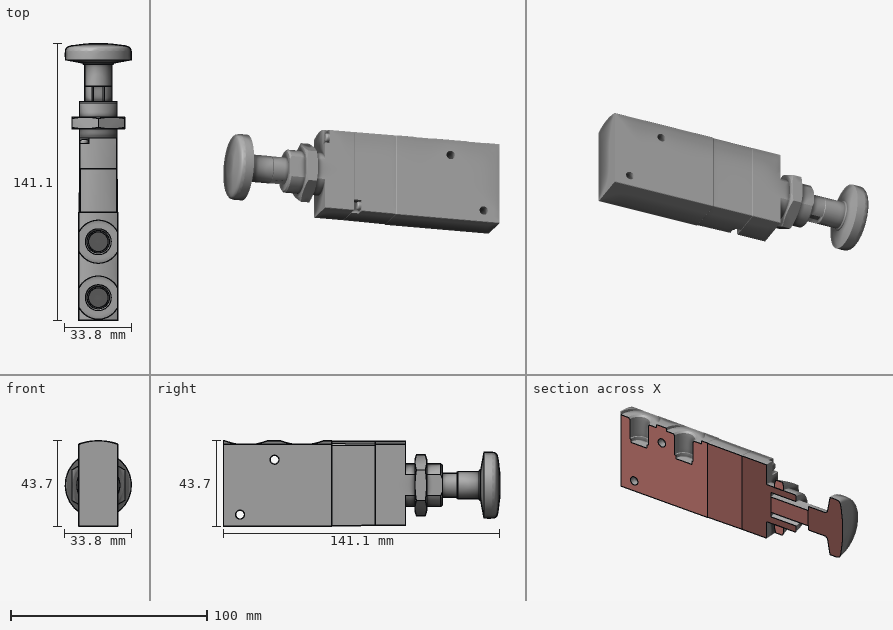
import cadquery as cq
import math


BODY_END = 55.3
MID_END = 77.3
HEAD_END = 92.9
BUSH_END = 111.6
STEM_END = 119.2
KNOB_END = 141.09

CUT_OVERRUN = 1.0

EDGE_BREAK = 0.25

BODY_WIDTH = 20.0
BODY_HEIGHT = 43.72
CROWN_RADIUS = 30.0
PORT_STATIONS = (11.6, 40.1)
PORT_FACE_DIA = 22.0
PORT_FACE_DEPTH = 1.8
PORT_MOUTH_DIA = 13.2
PORT_DIA = 11.45
PORT_DEPTH = 12.0
PORT_SEAT_DIA = 10.0
PORT_SEAT_DEPTH = 2.0
CROSS_HOLE_DIA = 4.4
CROSS_HOLES = ((8.5, 6.0), (26.1, 34.0))

HEAD_WIDTH = 19.2
HEAD_BOTTOM = 0.4
HEAD_TOP = 43.5
MID_WIDE_END = 19.63
MID_WIDE_END_BOTTOM = 0.2
MID_WIDE_END_TOP = 43.6
MID_BEVEL_WIDTH = 0.45
MID_BEVEL_HEIGHT = 0.8

AXIS_Z = 21.0
BUSH_DIA = 22.0
BUSH_CHAMFER = 0.8

NUT_FLATS = 27.0
NUT_START = 97.6
NUT_THICKNESS = 6.1
NUT_FACE_DIA = 26.0
NUT_CORNER_DROP = 0.8

STEM_DIA = 14.0
STEM_INSERTION = 16.0
SLOT_MOUTH_WIDTH = 6.4
SLOT_FLOOR_WIDTH = 4.7
SLOT_FLOOR_HEIGHT = 4.6

KNOB_DIA = 33.84
KNOB_RIM_BULGE = 0.1
KNOB_RIM_START = 132.85
KNOB_RIM_END = 137.1
KNOB_CONE_END = 131.15
KNOB_NECK_FILLET = 0.8
KNOB_DOME_RADIUS = 86.5
KNOB_DOME_HALF_WIDTHS = (14.0, 8.0)
KNOB_END_CHAMFER = 0.3

SCREW_HEAD_DIA = 4.4
SCREW_HEAD_HEIGHT = 1.9
SCREW_HEAD_ROUND = 0.9
SCREW_SHANK_DIA = 3.0
SCREW_SHANK_LENGTH = 25.0
POCKET_INNER_X = 4.8
SCREW_WALL_GAP = 0.1
SCREW_X = -(POCKET_INNER_X + SCREW_HEAD_DIA / 2 + SCREW_WALL_GAP)
HEAD_POCKET_FLOOR_Z = 35.0
HEAD_POCKET_DEPTH = 2.7
HEAD_SCREW_Z = 38.4
MID_POCKET_CEILING_Z = 6.1
MID_POCKET_DEPTH = 3.9
MID_SCREW_Z = 3.6


def section_plane(y):
    """Cross-section plane at station y, with its normal along +Y (local x is -X, local y is Z)."""
    return cq.Workplane(cq.Plane((0, y, 0), xDir=(-1, 0, 0), normal=(0, 1, 0)))


def rod(diameter, start, length, x=0.0, z=AXIS_Z):
    """Cylinder along +Y."""
    return section_plane(start).center(-x, z).circle(diameter / 2).extrude(length)


def arc_drop(radius, half_width):
    """How far an arc falls from its crest over a half width."""
    return radius - math.sqrt(radius**2 - half_width**2)


def block_outline(plane, width, bottom, top):
    """Rectangle whose top side is the crown arc."""
    half = width / 2
    shoulder = top - arc_drop(CROWN_RADIUS, half)
    return (
        plane.moveTo(-half, bottom)
        .lineTo(half, bottom)
        .lineTo(half, shoulder)
        .threePointArc((0, top), (-half, shoulder))
        .close()
    )


def bevelled_outline(plane, width, bottom, top):
    """Block outline with a bevel between each side and the crown, and broken lower edges."""
    half = width / 2
    crown_half = HEAD_WIDTH / 2 - MID_BEVEL_WIDTH
    crown_edge = top - arc_drop(CROWN_RADIUS, crown_half)
    bevel_foot = crown_edge - MID_BEVEL_HEIGHT
    return (
        plane.moveTo(-half, bottom + EDGE_BREAK)
        .lineTo(-half + EDGE_BREAK, bottom)
        .lineTo(half - EDGE_BREAK, bottom)
        .lineTo(half, bottom + EDGE_BREAK)
        .lineTo(half, bevel_foot)
        .lineTo(crown_half, crown_edge)
        .threePointArc((0, top), (-crown_half, crown_edge))
        .lineTo(-half, bevel_foot)
        .close()
    )


def corner_pocket(end, depth, low, high):
    """Notch in the -X side, sunk from the end face at station `end`."""
    width = BODY_WIDTH - POCKET_INNER_X
    notch = cq.Workplane().box(width, depth, high - low, centered=False)
    return notch.translate((-BODY_WIDTH, end - depth, low))


def screw_shank(seat, z):
    """Shank of a corner screw, also used to cut its hole."""
    return rod(SCREW_SHANK_DIA, seat - SCREW_SHANK_LENGTH, SCREW_SHANK_LENGTH, SCREW_X, z)


def screw(seat, z):
    """Round-head screw seated at station `seat`, its shank pointing to -Y."""
    head = rod(SCREW_HEAD_DIA, seat, SCREW_HEAD_HEIGHT, SCREW_X, z)
    head = head.faces(">Y").edges().fillet(SCREW_HEAD_ROUND)
    return head.union(screw_shank(seat, z))


HEAD_SCREW_SEAT = HEAD_END - HEAD_POCKET_DEPTH
MID_SCREW_SEAT = MID_END - MID_POCKET_DEPTH
head_shank = screw_shank(HEAD_SCREW_SEAT, HEAD_SCREW_Z)
mid_shank = screw_shank(MID_SCREW_SEAT, MID_SCREW_Z)


def port_cutter(y):
    """Spot face and stepped port hole, turned about a vertical axis."""
    face_z = BODY_HEIGHT - PORT_FACE_DEPTH
    hole_end = face_z - PORT_DEPTH
    mouth_depth = (PORT_MOUTH_DIA - PORT_DIA) / 2
    return (
        cq.Workplane("XZ")
        .moveTo(0, BODY_HEIGHT + CUT_OVERRUN)
        .lineTo(PORT_FACE_DIA / 2, BODY_HEIGHT + CUT_OVERRUN)
        .lineTo(PORT_FACE_DIA / 2, face_z)
        .lineTo(PORT_MOUTH_DIA / 2, face_z)
        .lineTo(PORT_DIA / 2, face_z - mouth_depth)
        .lineTo(PORT_DIA / 2, hole_end)
        .lineTo(PORT_SEAT_DIA / 2, hole_end)
        .lineTo(PORT_SEAT_DIA / 2, hole_end - PORT_SEAT_DEPTH)
        .lineTo(0, hole_end - PORT_SEAT_DEPTH)
        .close()
        .revolve(360, (0, 0, 0), (0, 1, 0))
        .translate((0, y, 0))
    )


def make_valve_body():
    """Crowned block with two ports on top and two cross holes; its plain end keeps sharp edges."""
    body = block_outline(section_plane(0), BODY_WIDTH, 0, BODY_HEIGHT).extrude(BODY_END)
    body = body.edges("not <Y").chamfer(EDGE_BREAK)
    for y in PORT_STATIONS:
        body = body.cut(port_cutter(y))
    cross_holes = (
        cq.Workplane("YZ").pushPoints(CROSS_HOLES).circle(CROSS_HOLE_DIA / 2).extrude(BODY_WIDTH, both=True)
    )
    return body.cut(cross_holes).cut(mid_shank)


def make_mid_block():
    """Block that tapers slightly from the valve body to the head block."""
    wide = bevelled_outline(section_plane(BODY_END), MID_WIDE_END, MID_WIDE_END_BOTTOM, MID_WIDE_END_TOP)
    narrow = bevelled_outline(section_plane(MID_END), HEAD_WIDTH, HEAD_BOTTOM, HEAD_TOP)
    block = cq.Workplane(cq.Solid.makeLoft([wide.wire().val(), narrow.wire().val()], True))
    pocket = corner_pocket(MID_END, MID_POCKET_DEPTH, -CUT_OVERRUN, MID_POCKET_CEILING_Z)
    return block.cut(pocket).cut(mid_shank).cut(head_shank)


def make_head_block():
    """Head block and its flatted bush, bored for the stem."""
    block = block_outline(section_plane(MID_END), HEAD_WIDTH, HEAD_BOTTOM, HEAD_TOP).extrude(HEAD_END - MID_END)
    block = block.edges("not >Y").chamfer(EDGE_BREAK)
    pocket = corner_pocket(HEAD_END, HEAD_POCKET_DEPTH, HEAD_POCKET_FLOOR_Z, HEAD_TOP + CUT_OVERRUN)
    bush = rod(BUSH_DIA, HEAD_END, BUSH_END - HEAD_END).faces(">Y").edges().chamfer(BUSH_CHAMFER)
    flats = section_plane(HEAD_END).center(0, AXIS_Z).rect(HEAD_WIDTH, BUSH_DIA).extrude(BUSH_END - HEAD_END)
    bore = rod(STEM_DIA, BUSH_END - STEM_INSERTION, STEM_INSERTION)
    return block.cut(pocket).cut(head_shank).union(bush.intersect(flats)).cut(bore)


def make_nut():
    """Hexagon nut with two flats along Z and both faces chamfered by a cone."""
    corner_radius = NUT_FLATS / math.sqrt(3)
    hexagon = (
        section_plane(NUT_START)
        .center(0, AXIS_Z)
        .transformed(rotate=(0, 0, 90))
        .polygon(6, 2 * corner_radius)
        .extrude(NUT_THICKNESS)
    )
    envelope = (
        rod(2 * corner_radius, NUT_START, NUT_THICKNESS)
        .faces("<Y or >Y")
        .edges()
        .chamfer(NUT_CORNER_DROP, corner_radius - NUT_FACE_DIA / 2)
    )
    return hexagon.intersect(envelope).cut(rod(BUSH_DIA, NUT_START, NUT_THICKNESS))


def make_stem():
    """Round stem with a tapered slot along its top and another along its underside."""
    start = BUSH_END - STEM_INSERTION
    length = STEM_END - start
    stem = rod(STEM_DIA, start, length)
    radius = STEM_DIA / 2
    mouth_half = SLOT_MOUTH_WIDTH / 2
    floor_half = SLOT_FLOOR_WIDTH / 2
    for side in (1, -1):
        mouth_z = side * math.sqrt(radius**2 - mouth_half**2)
        slot = (
            section_plane(start)
            .center(0, AXIS_Z)
            .moveTo(-floor_half, side * SLOT_FLOOR_HEIGHT)
            .lineTo(floor_half, side * SLOT_FLOOR_HEIGHT)
            .lineTo(mouth_half, mouth_z)
            .lineTo(mouth_half, side * radius)
            .lineTo(-mouth_half, side * radius)
            .lineTo(-mouth_half, mouth_z)
            .close()
            .extrude(length)
        )
        stem = stem.cut(slot)
    return stem


def make_knob():
    """Domed mushroom knob with its neck, turned about the stem axis."""
    rim_middle = KNOB_DIA / 2
    rim = rim_middle - KNOB_RIM_BULGE
    neck = STEM_DIA / 2
    dome_points = [(KNOB_END - arc_drop(KNOB_DOME_RADIUS, half), half) for half in KNOB_DOME_HALF_WIDTHS]
    neck_top = KNOB_CONE_END - KNOB_NECK_FILLET
    return (
        cq.Workplane("YZ", origin=(0, 0, AXIS_Z))
        .moveTo(STEM_END, 0)
        .lineTo(STEM_END, neck - KNOB_END_CHAMFER)
        .lineTo(STEM_END + KNOB_END_CHAMFER, neck)
        .lineTo(neck_top, neck)
        .radiusArc((KNOB_CONE_END, neck + KNOB_NECK_FILLET), KNOB_NECK_FILLET)
        .lineTo(KNOB_RIM_START, rim)
        .threePointArc(((KNOB_RIM_START + KNOB_RIM_END) / 2, rim_middle), (KNOB_RIM_END, rim))
        .spline(
            dome_points + [(KNOB_END, 0)],
            tangents=[(1, 0), (0, -1)],
            includeCurrent=True,
        )
        .close()
        .revolve(360, (0, 0, 0), (1, 0, 0))
    )


valve_body = make_valve_body()
mid_block = make_mid_block()
head_block = make_head_block()
nut = make_nut()
stem = make_stem()
knob = make_knob()
head_screw = screw(HEAD_SCREW_SEAT, HEAD_SCREW_Z)
mid_screw = screw(MID_SCREW_SEAT, MID_SCREW_Z)

bodies = [valve_body, mid_block, head_block, nut, stem, knob, head_screw, mid_screw]
result = cq.Compound.makeCompound([body.solids().val() for body in bodies])